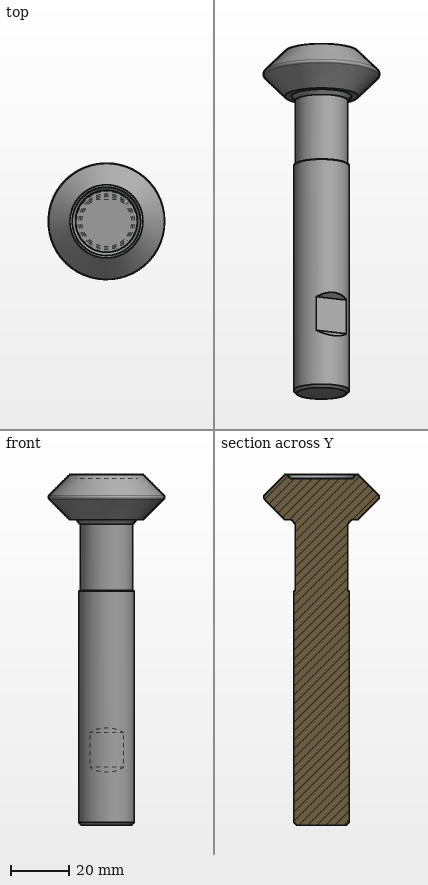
import cadquery as cq
import math

TOTAL_LENGTH = 120.01
HEAD_DIAMETER = 39.86
NECK_DIAMETER = 18.05
SHANK_DIAMETER = 19.05

HEAD_HEIGHT = 15.6
RIM_ROUND_RADIUS = 0.9
HEAD_UNDERSIDE_Z = TOTAL_LENGTH - HEAD_HEIGHT

RECESS_MOUTH_RADIUS = 11.7
RECESS_FLOOR_RADIUS = 10.6
RECESS_DEPTH = 1.4

COLLAR_HEIGHT = 1.5
COLLAR_TOP_RADIUS = 10.3

SHANK_LENGTH = 80.0
SHOULDER_RISE = 0.3
SHANK_END_CHAMFER = 1.0

NOTCH_CENTRE_Z = 25.85
NOTCH_FLOOR_LENGTH = 11.8
NOTCH_MOUTH_LENGTH = 15.2
NOTCH_DEPTH = 1.9


def make_head():
    """Two 45 degree cones joined by a rim arc tangent to both, with a recessed top."""
    rim_radius = HEAD_DIAMETER / 2
    rim_z = TOTAL_LENGTH - HEAD_HEIGHT / 2
    tangent_rise = RIM_ROUND_RADIUS * math.sin(math.radians(45))
    tangent_radius = rim_radius - RIM_ROUND_RADIUS + tangent_rise
    face_radius = tangent_radius - (HEAD_HEIGHT / 2 - tangent_rise)
    floor_z = TOTAL_LENGTH - RECESS_DEPTH
    profile = (
        cq.Workplane("XZ")
        .moveTo(0, HEAD_UNDERSIDE_Z)
        .lineTo(face_radius, HEAD_UNDERSIDE_Z)
        .lineTo(tangent_radius, rim_z - tangent_rise)
        .threePointArc((rim_radius, rim_z), (tangent_radius, rim_z + tangent_rise))
        .lineTo(face_radius, TOTAL_LENGTH)
        .lineTo(RECESS_MOUTH_RADIUS, TOTAL_LENGTH)
        .lineTo(RECESS_FLOOR_RADIUS, floor_z)
        .lineTo(0, floor_z)
        .close()
    )
    return profile.revolve(360, (0, 0, 0), (0, 1, 0))


def make_stem():
    """Shank, thinner neck and conical collar as one turned profile."""
    neck_radius = NECK_DIAMETER / 2
    shank_radius = SHANK_DIAMETER / 2
    profile = (
        cq.Workplane("XZ")
        .lineTo(shank_radius - SHANK_END_CHAMFER, 0)
        .lineTo(shank_radius, SHANK_END_CHAMFER)
        .lineTo(shank_radius, SHANK_LENGTH)
        .lineTo(neck_radius, SHANK_LENGTH + SHOULDER_RISE)
        .lineTo(neck_radius, HEAD_UNDERSIDE_Z - COLLAR_HEIGHT)
        .lineTo(COLLAR_TOP_RADIUS, HEAD_UNDERSIDE_Z)
        .lineTo(0, HEAD_UNDERSIDE_Z)
        .close()
    )
    return profile.revolve(360, (0, 0, 0), (0, 1, 0))


def make_notch():
    """Trapezoidal cutter running along X, narrowest at the notch floor."""
    mouth_y = SHANK_DIAMETER / 2
    floor_y = mouth_y - NOTCH_DEPTH
    half_floor = NOTCH_FLOOR_LENGTH / 2
    half_mouth = NOTCH_MOUTH_LENGTH / 2
    return (
        cq.Workplane("YZ")
        .moveTo(floor_y, NOTCH_CENTRE_Z - half_floor)
        .lineTo(floor_y, NOTCH_CENTRE_Z + half_floor)
        .lineTo(mouth_y, NOTCH_CENTRE_Z + half_mouth)
        .lineTo(mouth_y, NOTCH_CENTRE_Z - half_mouth)
        .close()
        .extrude(SHANK_DIAMETER / 2, both=True)
    )


result = make_head().union(make_stem()).cut(make_notch())